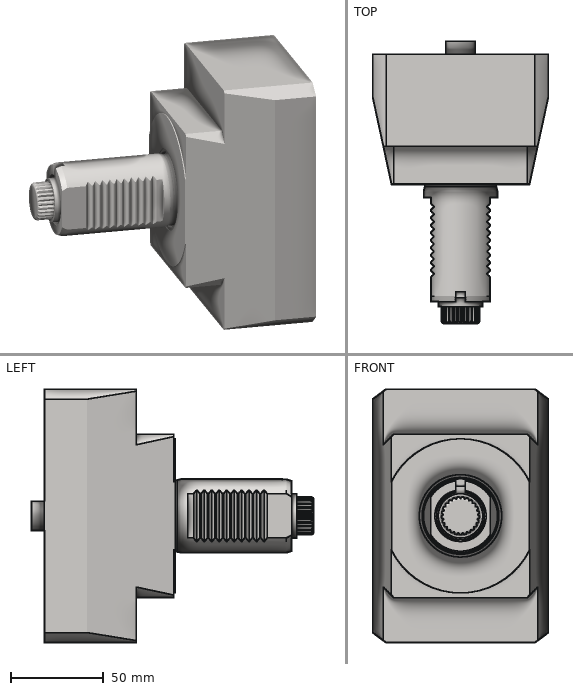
import cadquery as cq
import math


overall_length = 152.5

housing_width = 95.0
housing_height = 137.0
housing_back = 70.6
housing_corner_x = 7.3
housing_corner_z = 5.5
taper_start = 47.6
contact_width = 74.4

boss_length = 20.9
boss_height = 88.1
boss_corner = 11.5

disc_diameter = 83.3
disc_height = 0.6
step_diameter = 44.5
step_depth = 0.5
recess_diameter = 41.5
recess_depth = 2.5

shank_diameter = 40.0
shank_length = 63.0
neck_diameter = 38.7
neck_length = 1.0
neck_step_diameter = 39.0
neck_step_end = 1.5
neck_cone_end = 3.5
tip_chamfer_length = 2.9
tip_chamfer_depth = 0.9

flat_half_width = 16.0
flat_start = 6.9
groove_count = 10
first_groove = 11.7
groove_span = 36.3
groove_depth = 1.7

mouth_diameter = 26.0
mouth_chamfer = 0.9
mouth_depth = 2.0
slot_width = 5.3
slot_depth = 5.2
slot_floor = 15.9

collar_diameter = 24.0
collar_end = 65.7
spline_end = 74.9
spline_diameter = 20.6
spline_root_diameter = 18.6
spline_count = 25
groove_share = 0.7
spline_fillet = 1.7

pin_diameter = 16.0
pin_length = overall_length - spline_end - housing_back


def cylinder(diameter, front, back):
    """Cylinder on the shank axis between two Y positions."""
    return cq.Workplane("XZ", origin=(0, back, 0)).circle(diameter / 2).extrude(back - front)


def turned(outline):
    """Solid of revolution about the shank axis from (radius, Y) points."""
    return cq.Workplane("XY").polyline(outline).close().revolve(360, (0, 0, 0), (0, 1, 0))


def octagon(width, height, corner_x, corner_z, front, back):
    """Block with its four Y edges cut off, between two Y positions."""
    x = width / 2
    z = height / 2
    points = [
        (x, z - corner_z), (x - corner_x, z), (corner_x - x, z), (-x, z - corner_z),
        (-x, corner_z - z), (corner_x - x, -z), (x - corner_x, -z), (x, corner_z - z),
    ]
    return cq.Workplane("XZ", origin=(0, back, 0)).polyline(points).close().extrude(back - front)


def make_housing():
    block = octagon(
        housing_width, housing_height, housing_corner_x, housing_corner_z, boss_length, housing_back
    )
    boss = octagon(housing_width, boss_height, boss_corner, boss_corner, 0, boss_length)
    half_width = housing_width / 2
    half_contact = contact_width / 2
    plan = [
        (half_width, housing_back), (half_width, taper_start), (half_contact, 0),
        (-half_contact, 0), (-half_width, taper_start), (-half_width, housing_back),
    ]
    tapered = cq.Workplane("XY").polyline(plan).close().extrude(housing_height / 2, both=True)
    around_disc = (
        cq.Workplane("XZ", origin=(0, disc_height, 0))
        .rect(housing_width, housing_height)
        .circle(disc_diameter / 2)
        .extrude(disc_height)
    )
    step = cylinder(step_diameter, 0, step_depth)
    recess = cylinder(recess_diameter, 0, recess_depth)
    return block.union(boss).intersect(tapered).cut(around_disc).cut(step).cut(recess)


def make_shank():
    radius = shank_diameter / 2
    neck = neck_diameter / 2
    outline = [
        (0, recess_depth), (neck, recess_depth), (neck, -neck_length),
        (neck_step_diameter / 2, -neck_step_end), (radius, -neck_cone_end),
        (radius, tip_chamfer_length - shank_length), (radius - tip_chamfer_depth, -shank_length),
        (0, -shank_length),
    ]
    return turned(outline)


def make_serrated_cut():
    """Material removed beside the +X flat, with V grooves across it."""
    points = [(shank_diameter, -flat_start), (flat_half_width, -flat_start)]
    for i in range(groove_count):
        valley = -first_groove - i * groove_span / (groove_count - 1)
        points += [
            (flat_half_width, valley + groove_depth),
            (flat_half_width - groove_depth, valley),
            (flat_half_width, valley - groove_depth),
        ]
    points += [(flat_half_width, -shank_length), (shank_diameter, -shank_length)]
    return cq.Workplane("XY").polyline(points).close().extrude(shank_diameter, both=True)


def make_mouth():
    """Chamfered recess at the shank tip, around the collar."""
    radius = mouth_diameter / 2
    outline = [
        (0, mouth_depth - shank_length), (radius, mouth_depth - shank_length),
        (radius, mouth_chamfer - shank_length), (radius + mouth_chamfer, -shank_length),
        (0, -shank_length),
    ]
    return turned(outline)


def make_slot():
    """Stepped key slot through the +Z side of the shank tip."""
    profile = [
        (-shank_length, 0), (-shank_length, shank_diameter), (slot_depth - shank_length, shank_diameter),
        (slot_depth - shank_length, slot_floor), (mouth_depth - shank_length, slot_floor),
        (mouth_depth - shank_length, 0),
    ]
    return cq.Workplane("YZ").polyline(profile).close().extrude(slot_width / 2, both=True)


def make_drive():
    """Collar and splined end of the drive shaft."""
    collar = cylinder(collar_diameter, -collar_end, mouth_depth - shank_length)
    spline = cylinder(spline_diameter, -spline_end, -collar_end).faces("<Y").fillet(spline_fillet)
    outer = spline_diameter / 2
    root = spline_root_diameter / 2
    half_gap = math.pi * outer / spline_count * groove_share
    gap = (
        cq.Workplane("XZ", origin=(0, -collar_end, 0))
        .polyline([(-half_gap, outer), (0, root), (half_gap, outer), (0, 2 * outer - root)])
        .close()
        .extrude(spline_end - collar_end)
    )
    for i in range(spline_count):
        spline = spline.cut(gap.rotate((0, 0, 0), (0, 1, 0), i * 360 / spline_count))
    return collar.union(spline)


serrations = make_serrated_cut()
shank = make_shank().cut(serrations).cut(serrations.mirror("YZ")).cut(make_mouth()).cut(make_slot())
pin = cylinder(pin_diameter, housing_back, housing_back + pin_length)
result = make_housing().union(shank).union(make_drive()).union(pin)